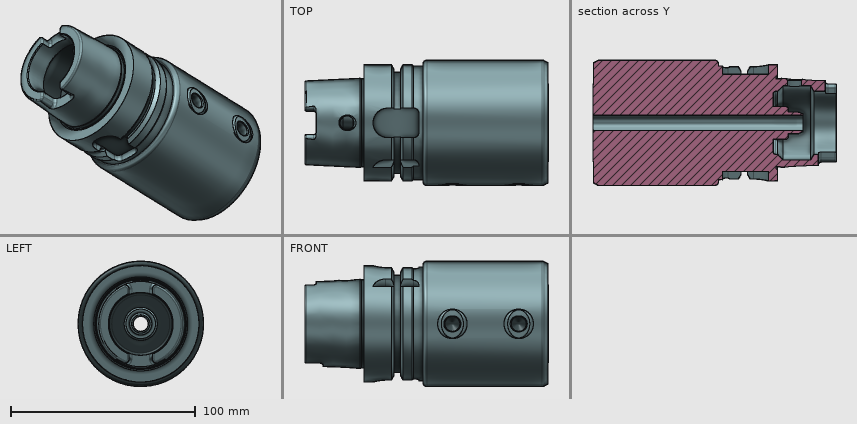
import cadquery as cq
import math

TOTAL_LENGTH = 132.0
TAPER_END = 29.8
NECK_START = 30.6
FLANGE_FACE = 32.0
GROOVE_START = 48.3
GROOVE_END = 51.7
FLANGE_CHAMFER = 1.5
COLLAR_END = 58.0
COLLAR_NECK_START = 58.7
BODY_START = 63.9
NOSE_FACE = 131.7
NOSE_ROUNDING_START = 128.5
NOSE_CHAMFER_START = 129.4
NOSE_CHAMFER_END = 131.2

TAPER_TIP_RADIUS = 22.7
TAPER_BASE_RADIUS = 24.2
NECK_RADIUS = 23.9
FACE_RELIEF_RADIUS = 25.5
FACE_RELIEF_FLOOR_RADIUS = 24.7
FACE_RELIEF_DEPTH = 0.8
FLANGE_RADIUS = 63.0 / 2
GROOVE_SHOULDER_RADIUS = 29.0
GROOVE_RADIUS = 27.5
COLLAR_NECK_RADIUS = 30.9
BODY_RADIUS = 68.0 / 2
BODY_ROUNDING = 2.2
NOSE_CHAMFER_START_RADIUS = 33.8
NOSE_CHAMFER_RADIUS = 32.7
NOSE_RADIUS = 32.5
NOSE_BOSS_RADIUS = 21.0

MOUTH_RADIUS = 34.0 / 2
MOUTH_CHAMFER = 0.5
MOUTH_LENGTH = 12.4
CLAMP_RADIUS = 40.0 / 2
CLAMP_SHOULDER_ANGLE = 60.0
CLAMP_END = 29.0
CAVITY_DEPTH = 34.3
CAVITY_FLOOR_ROUNDING = 1.3

NUT_RADIUS = 18.0 / 2
NUT_CHAMFER = 0.99
NUT_FACE = 26.1
TUBE_RADIUS = 12.0 / 2
TUBE_TIP_RADIUS = 9.9 / 2
TUBE_TIP = 18.2
TUBE_TAPER_END = 20.7
COOLANT_RADIUS = 8.0 / 2

SLOT_HALF_WIDTH = 12.5 / 2
SLOT_FLARE_RADIUS = 2.4
SLOT_CORNER_RADIUS = 1.5
UPPER_SLOT_DEPTH = 6.2
LOWER_SLOT_DEPTH = 9.9
TIP_ROUNDING = 0.9

ACCESS_HOLE_X = 22.8
ACCESS_HOLE_DIAMETER = 7.5
ACCESS_SINK_DIAMETER = 9.2

KEYWAY_WIDTH = 16.0
KEYWAY_START = 37.0
KEYWAY_END = 61.8
KEYWAY_CORNER_RADIUS = 2.9
KEYWAY_FLOOR = 26.4
NOTCH_START = 35.8
NOTCH_WALL_Y = -20.0
NOTCH_FLOOR_Z = 20.2

SCREW_POSITIONS = (79.9, 115.8)
SCREW_HOLE_RADIUS = 16.0 / 2
SCREW_END_RADIUS = 12.0 / 2
SCREW_EDGE_DROP = 1.0
SOCKET_RADIUS = 8.0 / 2
SOCKET_RIM_RADIUS = 9.2 / 2
SOCKET_DEPTH = 11.9
SOCKET_TIP_ANGLE = 118.0

CUT_CLEARANCE = 2.6
PICK_SLACK = 0.1


def revolve_about_x(profile):
    return profile.close().revolve(360, (0, 0, 0), (1, 0, 0))


def quarter_arc_offset(radius):
    """Distance from the middle of a quarter arc to each of the arc's two end tangents."""
    return radius * (1 - math.sqrt(0.5))


def taper_radius_at(x):
    return TAPER_TIP_RADIUS + (TAPER_BASE_RADIUS - TAPER_TIP_RADIUS) * x / TAPER_END


def outer_body():
    arc_offset = quarter_arc_offset(BODY_ROUNDING)
    return revolve_about_x(
        cq.Workplane("XY")
        .lineTo(0, TAPER_TIP_RADIUS)
        .lineTo(TAPER_END, TAPER_BASE_RADIUS)
        .lineTo(NECK_START, NECK_RADIUS)
        .lineTo(FLANGE_FACE + FACE_RELIEF_DEPTH, NECK_RADIUS)
        .lineTo(FLANGE_FACE + FACE_RELIEF_DEPTH, FACE_RELIEF_FLOOR_RADIUS)
        .lineTo(FLANGE_FACE, FACE_RELIEF_RADIUS)
        .lineTo(FLANGE_FACE, FLANGE_RADIUS)
        .lineTo(GROOVE_START - FLANGE_CHAMFER, FLANGE_RADIUS)
        .lineTo(GROOVE_START, GROOVE_SHOULDER_RADIUS)
        .lineTo(GROOVE_START, GROOVE_RADIUS)
        .lineTo(GROOVE_END, GROOVE_RADIUS)
        .lineTo(GROOVE_END, GROOVE_SHOULDER_RADIUS)
        .lineTo(GROOVE_END + FLANGE_CHAMFER, FLANGE_RADIUS)
        .lineTo(COLLAR_END, FLANGE_RADIUS)
        .lineTo(COLLAR_NECK_START, COLLAR_NECK_RADIUS)
        .lineTo(BODY_START, COLLAR_NECK_RADIUS)
        .lineTo(BODY_START, BODY_RADIUS - BODY_ROUNDING)
        .threePointArc(
            (BODY_START + arc_offset, BODY_RADIUS - arc_offset),
            (BODY_START + BODY_ROUNDING, BODY_RADIUS),
        )
        .lineTo(NOSE_ROUNDING_START, BODY_RADIUS)
        .tangentArcPoint((NOSE_CHAMFER_START, NOSE_CHAMFER_START_RADIUS), relative=False)
        .lineTo(NOSE_CHAMFER_END, NOSE_CHAMFER_RADIUS)
        .lineTo(NOSE_FACE, NOSE_RADIUS)
        .lineTo(NOSE_FACE, NOSE_BOSS_RADIUS)
        .lineTo(TOTAL_LENGTH, NOSE_BOSS_RADIUS)
        .lineTo(TOTAL_LENGTH, 0)
    )


def cavity():
    """Space around the coolant tube, from the tip to the cavity floor."""
    widening = CLAMP_RADIUS - MOUTH_RADIUS
    shoulder_length = widening / math.tan(math.radians(CLAMP_SHOULDER_ANGLE))
    arc_offset = quarter_arc_offset(CAVITY_FLOOR_ROUNDING)
    return revolve_about_x(
        cq.Workplane("XY")
        .lineTo(0, MOUTH_RADIUS + MOUTH_CHAMFER)
        .lineTo(MOUTH_CHAMFER, MOUTH_RADIUS)
        .lineTo(MOUTH_LENGTH, MOUTH_RADIUS)
        .lineTo(MOUTH_LENGTH + shoulder_length, CLAMP_RADIUS)
        .lineTo(CLAMP_END, CLAMP_RADIUS)
        .lineTo(CLAMP_END + widening, MOUTH_RADIUS)
        .lineTo(CAVITY_DEPTH - CAVITY_FLOOR_ROUNDING, MOUTH_RADIUS)
        .threePointArc(
            (CAVITY_DEPTH - arc_offset, MOUTH_RADIUS - arc_offset),
            (CAVITY_DEPTH, MOUTH_RADIUS - CAVITY_FLOOR_ROUNDING),
        )
        .lineTo(CAVITY_DEPTH, NUT_RADIUS)
        .lineTo(NUT_FACE + NUT_CHAMFER, NUT_RADIUS)
        .lineTo(NUT_FACE, NUT_RADIUS - NUT_CHAMFER)
        .lineTo(NUT_FACE, TUBE_RADIUS)
        .lineTo(TUBE_TAPER_END, TUBE_RADIUS)
        .lineTo(TUBE_TIP, TUBE_TIP_RADIUS)
        .lineTo(TUBE_TIP, 0)
    )


def coolant_bore():
    return cq.Workplane("YZ").circle(COOLANT_RADIUS).extrude(TOTAL_LENGTH)


def drive_slot(depth):
    """Slot cutter on the +Z side, whose walls flare tangentially into the taper."""
    taper_radius = taper_radius_at(depth)
    center_y = SLOT_HALF_WIDTH + SLOT_FLARE_RADIUS
    center_z = math.sqrt((taper_radius - SLOT_FLARE_RADIUS) ** 2 - center_y**2)
    end_angle = math.atan2(center_z, center_y)
    mid_angle = (math.pi + end_angle) / 2

    def flare_point(angle):
        y = center_y + SLOT_FLARE_RADIUS * math.cos(angle)
        z = center_z + SLOT_FLARE_RADIUS * math.sin(angle)
        return y, z

    end_y, end_z = flare_point(end_angle)
    outside_y = end_y + CUT_CLEARANCE * math.sin(end_angle)
    outside_z = end_z - CUT_CLEARANCE * math.cos(end_angle)
    top_z = taper_radius + CUT_CLEARANCE
    half = (
        cq.Workplane("YZ", origin=(-CUT_CLEARANCE, 0, 0))
        .lineTo(SLOT_HALF_WIDTH, 0)
        .lineTo(SLOT_HALF_WIDTH, center_z)
        .threePointArc(flare_point(mid_angle), (end_y, end_z))
        .lineTo(outside_y, outside_z)
        .lineTo(outside_y, top_z)
        .lineTo(0, top_z)
        .close()
        .extrude(depth + CUT_CLEARANCE)
    )
    slot = half.union(half.mirror("XZ"))
    wall_corners = cq.selectors.BoxSelector(
        (depth - PICK_SLACK, -end_y, PICK_SLACK),
        (depth + PICK_SLACK, end_y, end_z),
        boundingbox=False,
    )
    return slot.faces(">X").edges(wall_corners).fillet(SLOT_CORNER_RADIUS)


def access_hole():
    sink = (ACCESS_SINK_DIAMETER - ACCESS_HOLE_DIAMETER) / 2
    surface = taper_radius_at(ACCESS_HOLE_X)
    hole_radius = ACCESS_HOLE_DIAMETER / 2
    hole = (
        cq.Workplane("XY", origin=(ACCESS_HOLE_X, 0, MOUTH_RADIUS))
        .circle(hole_radius)
        .extrude(surface + CUT_CLEARANCE - MOUTH_RADIUS)
    )
    sink_depth = sink + CUT_CLEARANCE
    countersink = cq.Solid.makeCone(
        hole_radius, hole_radius + sink_depth, sink_depth, pnt=(ACCESS_HOLE_X, 0, surface - sink)
    )
    return hole.union(cq.Workplane(countersink))


def keyway(start, center_y, floor_z):
    """Keyway cutter with a round -X end and small corner radii at the +X end."""
    half_width = KEYWAY_WIDTH / 2
    arc_center_x = start + half_width
    return (
        cq.Workplane("XY", origin=(0, center_y, floor_z))
        .moveTo(KEYWAY_END, half_width)
        .lineTo(arc_center_x, half_width)
        .threePointArc((start, 0), (arc_center_x, -half_width))
        .lineTo(KEYWAY_END, -half_width)
        .close()
        .extrude(BODY_RADIUS - floor_z)
        .edges("|Z and >X")
        .fillet(KEYWAY_CORNER_RADIUS)
    )


def screw_recess(x):
    """Ring around the chamfered screw end, plus the socket with its drill point."""
    slope = SCREW_EDGE_DROP / (SCREW_HOLE_RADIUS - SCREW_END_RADIUS)
    rise = slope * SCREW_END_RADIUS
    ring = (
        cq.Workplane("XY")
        .moveTo(0, -BODY_RADIUS - rise)
        .lineTo(SCREW_HOLE_RADIUS, -BODY_RADIUS + SCREW_EDGE_DROP)
        .lineTo(SCREW_HOLE_RADIUS, -BODY_RADIUS - rise)
        .close()
        .revolve(360, (0, 0, 0), (0, 1, 0))
    )
    rim = SOCKET_RIM_RADIUS - SOCKET_RADIUS
    tip = SOCKET_RADIUS / math.tan(math.radians(SOCKET_TIP_ANGLE / 2))
    socket = (
        cq.Workplane("XY")
        .moveTo(0, -BODY_RADIUS)
        .lineTo(SOCKET_RIM_RADIUS, -BODY_RADIUS)
        .lineTo(SOCKET_RADIUS, -BODY_RADIUS + rim)
        .lineTo(SOCKET_RADIUS, -BODY_RADIUS + SOCKET_DEPTH)
        .lineTo(0, -BODY_RADIUS + SOCKET_DEPTH + tip)
        .close()
        .revolve(360, (0, 0, 0), (0, 1, 0))
    )
    return ring.union(socket).translate((x, 0, 0))


part = outer_body()
part = part.cut(drive_slot(UPPER_SLOT_DEPTH))
part = part.cut(drive_slot(LOWER_SLOT_DEPTH).mirror("XY"))
part = part.faces("<X").edges().fillet(TIP_ROUNDING)
part = part.cut(cavity()).cut(coolant_bore())
part = part.cut(access_hole())

top_keyway = keyway(KEYWAY_START, 0, KEYWAY_FLOOR)
part = part.cut(top_keyway).cut(top_keyway.mirror("XY"))
part = part.cut(keyway(NOTCH_START, NOTCH_WALL_Y - KEYWAY_WIDTH / 2, NOTCH_FLOOR_Z))

for screw_x in SCREW_POSITIONS:
    part = part.cut(screw_recess(screw_x))

result = part.solids()